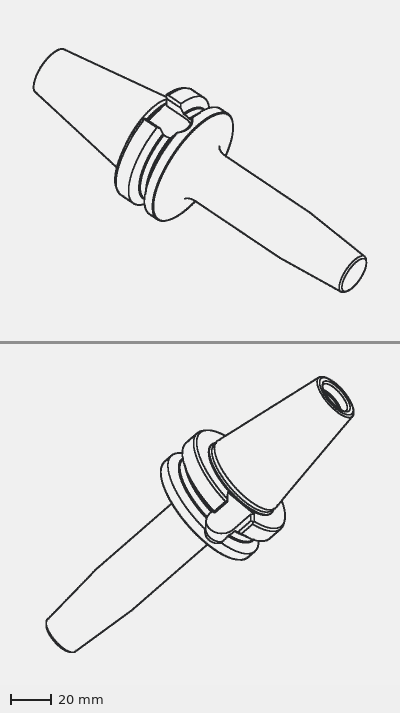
import cadquery as cq
import math


length = 195.4

taper_small_radius = 12.7
taper_slope = 7 / 48
taper_end = 63.7
taper_edge_length = 0.5
taper_edge_drop = 1.2
relief_radius = 21.7
relief_start = 64.9
relief_end = 65.8
collar_start = 66.8
collar_radius = 22.5

flange_start = 67.5
flange_end = 92.5
flange_radius = 31.5
flange_edge_length = 1.4
flange_edge_drop = 0.8
flange_rear_edge = 0.4
flange_rear_dish = 0.4
groove_center = 81.9
groove_radius = 26.4
groove_corner_radius = 26.8
groove_floor_half = 1.8
groove_corner_half = 2.3
groove_mouth_half = 5.0

nose_radius = 13.5
nose_fillet = 10.0
nose_taper_start = 157.3
tip_radius = 10.5
tip_edge = 1.0

slot_half_width = 8.0
slot_end = 89.0
slot_floor = 22.5
slot_side_edge = 1.4
slot_entry_flare = 1.2
slot_entry_length = 1.4
slot_end_edge = 1.0

bore_mouth_radius = 9.5
bore_radius = 8.5
bore_depth = 5.0
step_radius = 8.0
step_depth = 8.4
thread_radius = 6.8
thread_depth = 29.3
drill_point_angle = 118.0


def make_body():
    """Solid of revolution of the whole outside."""
    taper_edge_radius = taper_small_radius + taper_slope * taper_edge_length
    taper_end_radius = taper_small_radius + taper_slope * taper_end
    fillet_turn = nose_fillet * math.sqrt(0.5)
    fillet_start = flange_end + flange_rear_dish
    fillet_center_x = fillet_start + nose_fillet
    fillet_center_r = nose_radius + nose_fillet
    profile = (
        cq.Workplane("XY")
        .moveTo(0, 0)
        .lineTo(0, taper_edge_radius - taper_edge_drop)
        .lineTo(taper_edge_length, taper_edge_radius)
        .lineTo(taper_end, taper_end_radius)
        .lineTo(relief_start, relief_radius)
        .lineTo(relief_end, relief_radius)
        .lineTo(collar_start, collar_radius)
        .lineTo(flange_start, collar_radius)
        .lineTo(flange_start, flange_radius - flange_edge_drop)
        .lineTo(flange_start + flange_edge_length, flange_radius)
        .lineTo(groove_center - groove_mouth_half, flange_radius)
        .lineTo(groove_center - groove_corner_half, groove_corner_radius)
        .lineTo(groove_center - groove_floor_half, groove_radius)
        .lineTo(groove_center + groove_floor_half, groove_radius)
        .lineTo(groove_center + groove_corner_half, groove_corner_radius)
        .lineTo(groove_center + groove_mouth_half, flange_radius)
        .lineTo(flange_end - flange_rear_edge, flange_radius)
        .lineTo(flange_end, flange_radius - flange_rear_edge)
        .lineTo(fillet_start, fillet_center_r)
        .threePointArc(
            (fillet_center_x - fillet_turn, fillet_center_r - fillet_turn),
            (fillet_center_x, nose_radius),
        )
        .lineTo(nose_taper_start, nose_radius)
        .lineTo(length - tip_edge, tip_radius)
        .lineTo(length, tip_radius - tip_edge)
        .lineTo(length, 0)
        .close()
    )
    return profile.revolve(360, (0, 0, 0), (1, 0, 0))


def make_bore():
    """Stepped blind bore with a drill point, open at the small end."""
    point_length = thread_radius / math.tan(math.radians(drill_point_angle / 2))
    profile = cq.Workplane("XY").polyline([
        (0, 0),
        (0, bore_mouth_radius),
        (bore_mouth_radius - bore_radius, bore_radius),
        (bore_depth, bore_radius),
        (bore_depth + bore_radius - step_radius, step_radius),
        (step_depth, step_radius),
        (step_depth + step_radius - thread_radius, thread_radius),
        (thread_depth, thread_radius),
        (thread_depth + point_length, 0),
    ]).close()
    return profile.revolve(360, (0, 0, 0), (1, 0, 0))


def make_slot():
    """Cutter for the +Z drive slot, including its three edge chamfers."""
    slot_height = flange_radius - slot_floor
    end_center = slot_end - slot_half_width
    entry_half = slot_half_width + slot_entry_flare

    slot = (
        cq.Workplane("XY", origin=(0, 0, slot_floor))
        .moveTo(flange_start, -entry_half)
        .lineTo(flange_start + slot_entry_length, -slot_half_width)
        .lineTo(end_center, -slot_half_width)
        .threePointArc((slot_end, 0), (end_center, slot_half_width))
        .lineTo(flange_start + slot_entry_length, slot_half_width)
        .lineTo(flange_start, entry_half)
        .close()
        .extrude(slot_height)
    )

    wide_half = slot_half_width + slot_side_edge
    bevel_bottom = math.sqrt(flange_radius**2 - wide_half**2) - slot_side_edge
    bevel_height = flange_radius - bevel_bottom
    side_bevel = (
        cq.Workplane("YZ", origin=(flange_start, 0, 0))
        .moveTo(-slot_half_width, bevel_bottom)
        .lineTo(slot_half_width, bevel_bottom)
        .lineTo(slot_half_width + bevel_height, flange_radius)
        .lineTo(-slot_half_width - bevel_height, flange_radius)
        .close()
        .extrude(groove_center - flange_start)
    )

    end_bevel = (
        cq.Workplane("XZ", origin=(end_center, 0, 0))
        .moveTo(0, flange_radius - slot_end_edge)
        .lineTo(slot_half_width, flange_radius - slot_end_edge)
        .lineTo(slot_half_width + slot_end_edge, flange_radius)
        .lineTo(0, flange_radius)
        .close()
        .revolve(360, (0, 0, 0), (0, 1, 0))
    )
    return slot.union(side_bevel).union(end_bevel)


slot = make_slot()
result = make_body().cut(make_bore())
for turn in (0, 180):
    result = result.cut(slot.rotate((0, 0, 0), (1, 0, 0), turn))